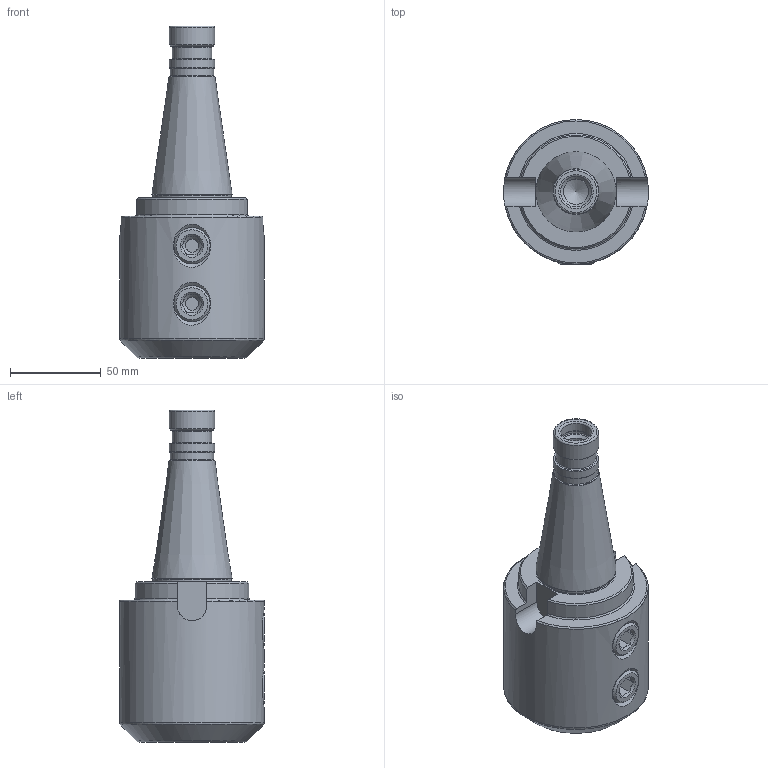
import cadquery as cq
import math


TAPER_RATIO = 7 / 24
GAUGE_RADIUS = 44.45 / 2
SHANK_LENGTH = 93.4
GAUGE_LAND = 1.6
LAND_RADIUS = 43.4 / 2
LAND_TOP_Z = 0.4
LAND_FILLET = 0.4

TAIL_RADIUS = 25 / 2
TAIL_FILLET = 1.0
TAIL_END = 11.2
TAIL_CHAMFER = 0.8
GROOVE_RADIUS = 21.7 / 2
GROOVE_END = 18.5
COLLAR_END = 23.2
NECK_END = 28.0
TAIL_CORNER_FILLET = 0.5
NECK_RADIUS = TAIL_RADIUS - TAIL_CORNER_FILLET

FLANGE_RADIUS = 63 / 2
FLANGE_HEIGHT = 10.0
FLANGE_CHAMFER = 0.8
FLANGE_FOOT_FILLET = 0.8
BODY_RADIUS = 80 / 2
BODY_LENGTH = 90.0
BODY_FILLET = 0.8
NOSE_CHAMFER = 10.0
NOSE_FILLET = 2.0

SLOT_WIDTH = 16.1
SLOT_INNER = 22.5
SLOT_BOTTOM_Z = -23.0

HOLE_MOUTH_FILLET = 1.0
COUNTERBORE_RADIUS = 17 / 2
COUNTERBORE_DEPTH = 5.8
RELIEF_WIDTH = 2.4
RELIEF_DEPTH = 0.5
HOLE_RADIUS = 14 / 2
HOLE_DEPTH = 32.0
DRILL_POINT_ANGLE = 118

SCREW_RADIUS = 20 / 2
SCREW_FIRST_Z = -28.0
SCREW_PITCH = 32.0
SCREW_COUNT = 2
SCREW_CHAMFER = 1.2
SCREW_LENGTH = 12.0
SCREW_SEAT_RADIUS = 11.9
SCREW_SEAT_ANGLE = 100
SOCKET_FLATS = 10.0
SOCKET_DEPTH = 8.0
SOCKET_CORNER_RADIUS = SOCKET_FLATS / math.sqrt(3)
SOCKET_MOUTH_RADIUS = 6.4
SOCKET_FLOOR_RADIUS = 3.6

FLANGE_TOP_Z = -GAUGE_LAND
BODY_TOP_Z = FLANGE_TOP_Z - FLANGE_HEIGHT
NOSE_Z = -BODY_LENGTH


def revolve_about_z(profile):
    """Turn a closed (radius, z) profile about the Z axis."""
    return profile.close().revolve(360, (0, 0, 0), (0, 1, 0))


def make_shank():
    """Taper with a filleted relief above the flange, a neck, a collar and a grooved tail."""
    tail_start = SHANK_LENGTH - TAIL_END
    collar_start = SHANK_LENGTH - GROOVE_END
    collar_end = SHANK_LENGTH - COLLAR_END
    neck_end = SHANK_LENGTH - NECK_END
    taper_tip_radius = GAUGE_RADIUS - neck_end * TAPER_RATIO / 2
    taper_base_radius = GAUGE_RADIUS - LAND_TOP_Z * TAPER_RATIO / 2
    profile = (
        cq.Workplane("XZ")
        .moveTo(0, FLANGE_TOP_Z)
        .lineTo(LAND_RADIUS + LAND_FILLET, FLANGE_TOP_Z)
        .radiusArc((LAND_RADIUS, FLANGE_TOP_Z + LAND_FILLET), LAND_FILLET)
        .lineTo(LAND_RADIUS, LAND_TOP_Z - LAND_FILLET)
        .radiusArc((LAND_RADIUS + LAND_FILLET, LAND_TOP_Z), LAND_FILLET)
        .lineTo(taper_base_radius, LAND_TOP_Z)
        .lineTo(taper_tip_radius, neck_end)
        .lineTo(TAIL_RADIUS, neck_end)
        .radiusArc((NECK_RADIUS, neck_end + TAIL_CORNER_FILLET), TAIL_CORNER_FILLET)
        .lineTo(NECK_RADIUS, collar_end - TAIL_CORNER_FILLET)
        .radiusArc((TAIL_RADIUS, collar_end), TAIL_CORNER_FILLET)
        .lineTo(TAIL_RADIUS, collar_start)
        .lineTo(GROOVE_RADIUS + TAIL_CORNER_FILLET, collar_start)
        .radiusArc((GROOVE_RADIUS, collar_start + TAIL_CORNER_FILLET), TAIL_CORNER_FILLET)
        .lineTo(GROOVE_RADIUS, tail_start - TAIL_CORNER_FILLET)
        .radiusArc((GROOVE_RADIUS + TAIL_CORNER_FILLET, tail_start), TAIL_CORNER_FILLET)
        .lineTo(TAIL_RADIUS - TAIL_CHAMFER, tail_start)
        .lineTo(TAIL_RADIUS, tail_start + TAIL_CHAMFER)
        .lineTo(TAIL_RADIUS, SHANK_LENGTH - TAIL_FILLET)
        .radiusArc((TAIL_RADIUS - TAIL_FILLET, SHANK_LENGTH), -TAIL_FILLET)
        .lineTo(0, SHANK_LENGTH)
    )
    return revolve_about_z(profile)


def make_body():
    """Cylindrical body with a chamfered, rounded nose and a rounded top edge."""
    body = (
        cq.Workplane("XY", origin=(0, 0, NOSE_Z))
        .circle(BODY_RADIUS)
        .extrude(BODY_TOP_Z - NOSE_Z)
    )
    body = body.faces("<Z").chamfer(NOSE_CHAMFER)
    body = body.edges("%CIRCLE and (not >Z)").fillet(NOSE_FILLET)
    return body.faces(">Z").edges().fillet(BODY_FILLET)


def make_flange():
    """Flange disc with a chamfered rim and a concave fillet onto the body."""
    profile = (
        cq.Workplane("XZ")
        .moveTo(0, BODY_TOP_Z)
        .lineTo(FLANGE_RADIUS + FLANGE_FOOT_FILLET, BODY_TOP_Z)
        .radiusArc((FLANGE_RADIUS, BODY_TOP_Z + FLANGE_FOOT_FILLET), FLANGE_FOOT_FILLET)
        .lineTo(FLANGE_RADIUS, FLANGE_TOP_Z - FLANGE_CHAMFER)
        .lineTo(FLANGE_RADIUS - FLANGE_CHAMFER, FLANGE_TOP_Z)
        .lineTo(0, FLANGE_TOP_Z)
    )
    return revolve_about_z(profile)


def make_drive_slot(side):
    """Round-bottomed slot cutter on the +X (side = 1) or -X (side = -1) flank."""
    slot_radius = SLOT_WIDTH / 2
    centre_z = SLOT_BOTTOM_Z + slot_radius
    return (
        cq.Workplane("YZ", origin=(side * SLOT_INNER, 0, 0))
        .moveTo(-slot_radius, FLANGE_TOP_Z)
        .lineTo(-slot_radius, centre_z)
        .threePointArc((0, SLOT_BOTTOM_Z), (slot_radius, centre_z))
        .lineTo(slot_radius, FLANGE_TOP_Z)
        .close()
        .extrude(side * BODY_RADIUS)
    )


def make_drawbar_hole():
    """Counterbored blind hole with a rounded mouth, a relief groove and a drill point."""
    relief_top = SHANK_LENGTH - COUNTERBORE_DEPTH
    relief_bottom = relief_top - RELIEF_WIDTH
    relief_radius = COUNTERBORE_RADIUS + RELIEF_DEPTH
    hole_top = relief_bottom - (COUNTERBORE_RADIUS - HOLE_RADIUS)
    hole_bottom = SHANK_LENGTH - HOLE_DEPTH
    point_length = HOLE_RADIUS / math.tan(math.radians(DRILL_POINT_ANGLE / 2))
    profile = (
        cq.Workplane("XZ")
        .moveTo(0, SHANK_LENGTH)
        .lineTo(COUNTERBORE_RADIUS + HOLE_MOUTH_FILLET, SHANK_LENGTH)
        .radiusArc((COUNTERBORE_RADIUS, SHANK_LENGTH - HOLE_MOUTH_FILLET), -HOLE_MOUTH_FILLET)
        .lineTo(COUNTERBORE_RADIUS, relief_top)
        .radiusArc((relief_radius, relief_top - RELIEF_DEPTH), RELIEF_DEPTH)
        .lineTo(relief_radius, relief_bottom + RELIEF_DEPTH)
        .radiusArc((COUNTERBORE_RADIUS, relief_bottom), RELIEF_DEPTH)
        .lineTo(HOLE_RADIUS, hole_top)
        .lineTo(HOLE_RADIUS, hole_bottom)
        .lineTo(0, hole_bottom - point_length)
    )
    return revolve_about_z(profile)


def make_screw_cylinder(radius, length, z):
    """Cylinder on a screw axis, from the crest of the body inwards."""
    return cq.Workplane("XZ", origin=(0, -BODY_RADIUS, z)).circle(radius).extrude(-length)


def make_screw_cone(start_radius, end_radius, depth, length, z):
    """Cone on a screw axis, starting at a depth below the crest of the body."""
    start = cq.Vector(0, -BODY_RADIUS + depth, z)
    return cq.Workplane(cq.Solid.makeCone(start_radius, end_radius, length, start, cq.Vector(0, 1, 0)))


def make_screw_seat(z):
    """Countersunk bore in the body that the screw stands in."""
    sink_length = (SCREW_SEAT_RADIUS - SCREW_RADIUS) / math.tan(math.radians(SCREW_SEAT_ANGLE / 2))
    countersink = make_screw_cone(SCREW_SEAT_RADIUS, SCREW_RADIUS, 0, sink_length, z)
    return countersink.union(make_screw_cylinder(SCREW_RADIUS, SCREW_LENGTH, z))


def make_screw(z):
    """Set screw with a chamfered outer end, level with the crest of the body."""
    return make_screw_cylinder(SCREW_RADIUS, SCREW_LENGTH, z).faces("<Y").chamfer(SCREW_CHAMFER)


def make_socket(z):
    """Hexagon socket with a countersunk mouth and a conical bottom with a flat floor."""
    mouth_length = SOCKET_MOUTH_RADIUS - SOCKET_FLATS / 2
    mouth = make_screw_cone(SOCKET_MOUTH_RADIUS, SOCKET_FLATS / 2, 0, mouth_length, z)
    bottom_length = SOCKET_CORNER_RADIUS - SOCKET_FLOOR_RADIUS
    bottom = make_screw_cone(SOCKET_CORNER_RADIUS, SOCKET_FLOOR_RADIUS, SOCKET_DEPTH, bottom_length, z)
    hexagon = (
        cq.Workplane("XZ", origin=(0, -BODY_RADIUS, z))
        .polygon(6, 2 * SOCKET_CORNER_RADIUS)
        .extrude(-SOCKET_DEPTH - bottom_length)
    )
    drilled = make_screw_cylinder(SOCKET_CORNER_RADIUS, SOCKET_DEPTH, z).union(bottom)
    return hexagon.intersect(drilled).union(mouth)


result = make_shank().union(make_flange()).union(make_body())
for slot_side in (1, -1):
    result = result.cut(make_drive_slot(slot_side))
result = result.cut(make_drawbar_hole())
for index in range(SCREW_COUNT):
    screw_z = SCREW_FIRST_Z - index * SCREW_PITCH
    result = result.cut(make_screw_seat(screw_z))
    result = result.union(make_screw(screw_z))
    result = result.cut(make_socket(screw_z))